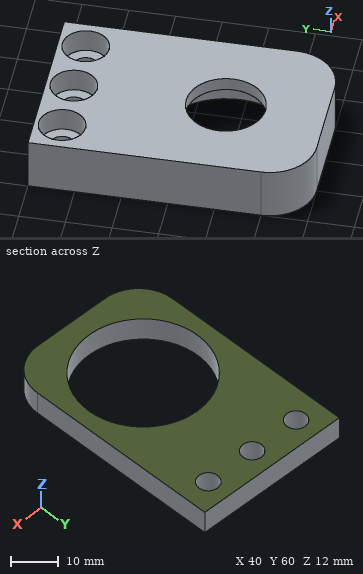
import cadquery as cq

width = 40.0
length = 60.0
thickness = 12.0
corner_radius = 10.0

screw_diameter = 5.3
screw_head_diameter = 10.0
screw_head_depth = 5.4
screw_spacing = 13.0
screw_edge_distance = 6.0

opening_diameter = 17.0
recess_diameter = 32.0
lip_thickness = 3.0
opening_edge_distance = 21.4

screw_y = length / 2 - screw_edge_distance
opening_y = -length / 2 + opening_edge_distance


def make_plate():
    """Rectangular plate with the two -Y corners rounded."""
    plate = cq.Workplane("XY").box(width, length, thickness, centered=(True, True, False))
    return plate.edges("|Z and <Y").fillet(corner_radius)


def cut_screw_holes(body):
    """Through holes with head counterbores in the top face."""
    positions = [(step * screw_spacing, screw_y) for step in (-1, 0, 1)]
    return (
        body.faces(">Z")
        .workplane(origin=(0, 0, thickness))
        .pushPoints(positions)
        .cboreHole(screw_diameter, screw_head_diameter, screw_head_depth)
    )


def cut_opening(body):
    """Round opening through the lip with a wider recess below it."""
    base = cq.Workplane("XY").center(0, opening_y)
    opening = base.circle(opening_diameter / 2).extrude(thickness)
    recess = base.circle(recess_diameter / 2).extrude(thickness - lip_thickness)
    return body.cut(opening).cut(recess)


result = cut_opening(cut_screw_holes(make_plate()))